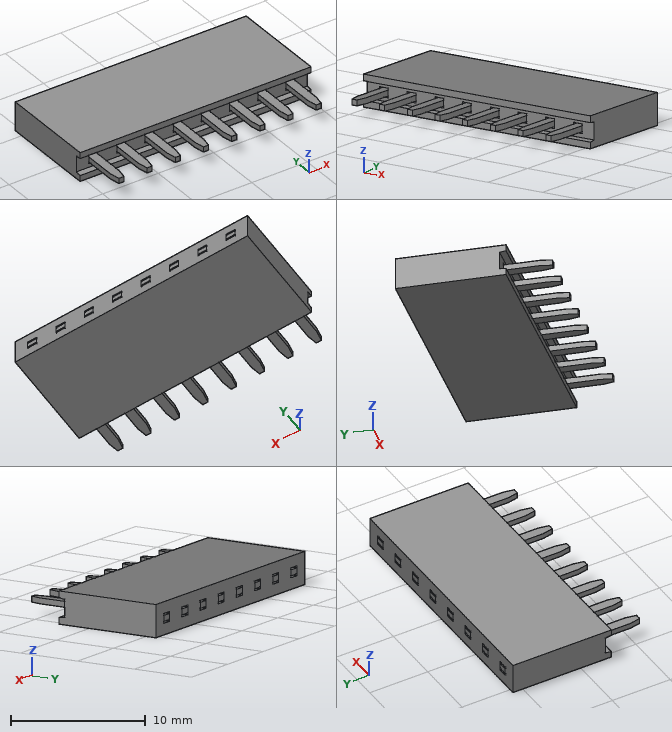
import cadquery as cq

housing_length = 20.83
housing_depth = 8.5
housing_height = 2.55

groove_depth = 0.5
lip_thickness_at_mouth = 0.52
lip_thickness_at_floor = 0.58

pin_count = 8
pin_pitch = 2.55
pin_width = 0.8
pin_thickness = 0.45
pin_protrusion = 3.2
tip_width = 0.45
tip_length = 0.87

hole_height = 0.75

pin_tip_y = -pin_protrusion
taper_start_y = pin_tip_y + tip_length
first_pin_x = -(pin_count - 1) * pin_pitch / 2
pin_positions = [first_pin_x + i * pin_pitch for i in range(pin_count)]


def make_groove():
    """Tapered groove cutter that runs the whole length of the housing."""
    half_mouth = housing_height / 2 - lip_thickness_at_mouth
    half_floor = housing_height / 2 - lip_thickness_at_floor
    return (
        cq.Workplane("YZ")
        .polyline([
            (0, -half_mouth),
            (groove_depth, -half_floor),
            (groove_depth, half_floor),
            (0, half_mouth),
        ])
        .close()
        .extrude(housing_length / 2, both=True)
    )


def make_pin_hole(x):
    """Rectangular cutter through the full depth of the housing."""
    return (
        cq.Workplane("XY")
        .box(pin_width, housing_depth, hole_height, centered=(True, False, True))
        .translate((x, 0, 0))
    )


def make_housing():
    """Block with a front groove and one through hole per pin."""
    body = cq.Workplane("XY").box(
        housing_length, housing_depth, housing_height, centered=(True, False, True)
    )
    body = body.cut(make_groove())
    for x in pin_positions:
        body = body.cut(make_pin_hole(x))
    return body


def make_pin(x):
    """Flat pin, flush with the back of the housing and tapered at its front tip."""
    return (
        cq.Workplane("XY")
        .polyline([
            (-pin_width / 2, housing_depth),
            (-pin_width / 2, taper_start_y),
            (-tip_width / 2, pin_tip_y),
            (tip_width / 2, pin_tip_y),
            (pin_width / 2, taper_start_y),
            (pin_width / 2, housing_depth),
        ])
        .close()
        .extrude(pin_thickness / 2, both=True)
        .translate((x, 0, 0))
    )


housing = make_housing()
pins = [make_pin(x) for x in pin_positions]

result = cq.Compound.makeCompound([housing.val(), *[pin.val() for pin in pins]])